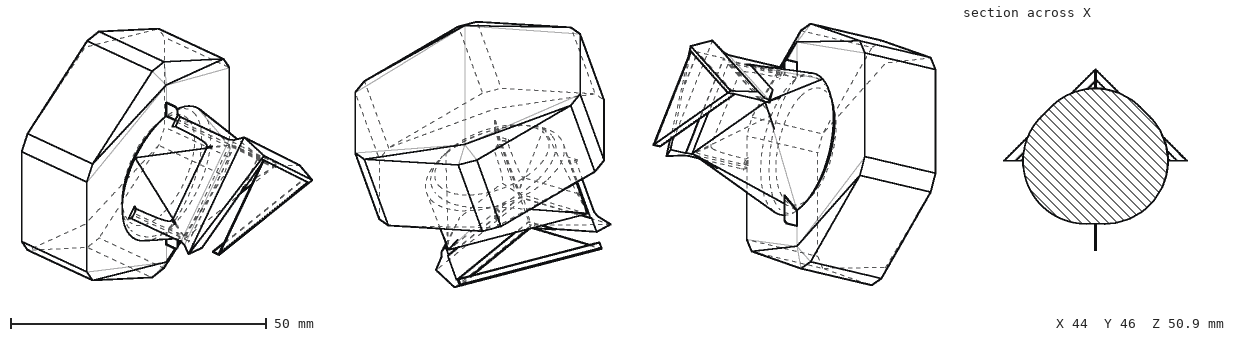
import cadquery as cq
import math


ACROSS_FLATS = 46.0
ACROSS_TRIMMED_CORNERS = 50.92
KNOB_LENGTH = 20.0
ROOF_HEIGHT = 2.0
RIDGE_HALF_LENGTH = 21.85

CORE_RADIUS = 14.2
CORE_SEAT_DEPTH = 2.0
CORE_SEAT_RADIUS = 11.7

WEB_HEIGHT = 35.0
WEB_LENGTH = 2.8
WEB_THICKNESS = 0.2
WEB_CHAMFER = 0.5

COLLAR_START = KNOB_LENGTH + WEB_LENGTH + 0.1
COLLAR_END = COLLAR_START + 0.5
COLLAR_RADIUS = 15.95
NECK_RADIUS = 15.6
NECK_END = 35.4
STEP_END = 36.6
STEP_RADIUS = 16.0
LIP_X = 39.1
LIP_RADIUS = 17.9
MOUTH_X = 44.0
BORE_RADIUS = 14.5
RECESS_RADIUS = 14.7
CUT_MARGIN = 5.0

CAP_LENGTH = 1.5
CAP_THICKNESS = 0.2


def closed_solid(faces):
    """Solid enclosed by faces that meet edge to edge."""
    return cq.Workplane(cq.Solid.makeSolid(cq.Shell.makeShell(faces)).fix())


def polygon_face(corners):
    """Flat face with the given corner points."""
    return cq.Face.makeFromWires(cq.Wire.makePolygon([cq.Vector(p) for p in corners], close=True))


def polyhedron(faces):
    """Solid bounded by flat faces, each given as a list of corner points."""
    return closed_solid([polygon_face(corners) for corners in faces])


def chevron(profile):
    """Sweep a closed (x, radius) profile over the upper half of a square set on its corner."""
    rings = [[(x, -r, 0), (x, 0, r), (x, r, 0)] for x, r in profile]
    faces = [[ring[0] for ring in rings], [ring[2] for ring in rings]]
    for ring, following in zip(rings, rings[1:] + rings[:1]):
        for side in range(2):
            faces.append([ring[side], ring[side + 1], following[side + 1], following[side]])
    return polyhedron(faces)


def plan_cutter(points):
    """Upright cutter with the given (x, y) outline, taller than the sleeve."""
    return cq.Workplane("XY").workplane(offset=-CUT_MARGIN).polyline(points).close().extrude(
        LIP_RADIUS + 2 * CUT_MARGIN
    )


def hexagon_outline():
    """Corners (y, z) of the trimmed hexagon, two at each trimmed corner."""
    flat = ACROSS_FLATS / 2
    trim = ACROSS_TRIMMED_CORNERS / 2
    corner_radius = flat / math.cos(math.pi / 6)
    half_trim_width = (corner_radius - trim) * math.tan(math.pi / 3)
    points = []
    for corner in range(6):
        angle = math.radians(90 + 60 * corner)
        for side in (-half_trim_width, half_trim_width):
            y = trim * math.cos(angle) - side * math.sin(angle)
            z = trim * math.sin(angle) + side * math.cos(angle)
            points.append((y, z))
    return points


def make_knob():
    outline = hexagon_outline()
    near_x = ROOF_HEIGHT
    far_x = KNOB_LENGTH - ROOF_HEIGHT
    faces = []
    edges = list(zip(outline, outline[1:] + outline[:1]))
    for a, b in edges:
        faces.append([(near_x, *a), (near_x, *b), (far_x, *b), (far_x, *a)])
    for base_x, ridge_x in ((near_x, 0), (far_x, KNOB_LENGTH)):
        ridge_top = (ridge_x, 0, RIDGE_HALF_LENGTH)
        ridge_bottom = (ridge_x, 0, -RIDGE_HALF_LENGTH)
        for a, b in edges:
            mid_z = (a[1] + b[1]) / 2
            corners = [(base_x, *a), (base_x, *b)]
            if math.isclose(mid_z, 0, abs_tol=1e-6):
                ends = [ridge_top, ridge_bottom]
                corners += ends if b[1] > a[1] else ends[::-1]
            else:
                corners.append(ridge_top if mid_z > 0 else ridge_bottom)
            faces.append(corners)
    return polyhedron(faces)


def make_core():
    def on_base(degrees):
        angle = math.radians(degrees)
        return cq.Vector(KNOB_LENGTH, CORE_RADIUS * math.cos(angle), CORE_RADIUS * math.sin(angle))

    left = cq.Vector(NECK_END, CORE_RADIUS, 0)
    top = cq.Vector(NECK_END, 0, CORE_RADIUS)
    right = cq.Vector(NECK_END, -CORE_RADIUS, 0)

    faces = [polygon_face([left, top, right])]
    arcs = []
    fans = ((-90, 45, left, top), (45, 135, top, right), (135, 270, right, left))
    for start, end, tip, next_tip in fans:
        arc = cq.Edge.makeThreePointArc(on_base(start), on_base((start + end) / 2), on_base(end))
        arcs.append(arc)
        faces.append(cq.occ_impl.shapes.loft(arc, cq.Vertex.makeVertex(*tip.toTuple())))
        faces.append(polygon_face([on_base(end), tip, next_tip]))
    faces.append(cq.Face.makeFromWires(cq.Wire.assembleEdges(arcs)))
    taper = closed_solid(faces)
    seat = (
        cq.Workplane("YZ", origin=(KNOB_LENGTH - CORE_SEAT_DEPTH, 0, 0))
        .circle(CORE_SEAT_RADIUS)
        .workplane(offset=CORE_SEAT_DEPTH)
        .circle(CORE_RADIUS)
        .loft()
    )
    return seat.union(taper)


def make_web():
    return (
        cq.Workplane("XY")
        .box(WEB_LENGTH, WEB_THICKNESS, WEB_HEIGHT)
        .edges(">X and |Y")
        .chamfer(WEB_CHAMFER)
        .translate((KNOB_LENGTH + WEB_LENGTH / 2, 0, 0))
    )


def make_sleeve():
    wall = chevron(
        [
            (COLLAR_START, COLLAR_RADIUS),
            (COLLAR_END, NECK_RADIUS),
            (NECK_END, NECK_RADIUS),
            (STEP_END, STEP_RADIUS),
            (LIP_X, LIP_RADIUS),
            (MOUTH_X, NECK_RADIUS),
            (MOUTH_X, BORE_RADIUS),
            (MOUTH_X - CAP_LENGTH, BORE_RADIUS),
            (MOUTH_X - CAP_LENGTH, RECESS_RADIUS),
            (STEP_END, RECESS_RADIUS),
            (STEP_END, BORE_RADIUS),
            (COLLAR_START, BORE_RADIUS),
        ]
    )
    neck_cut = plan_cutter(
        [
            (COLLAR_START - CUT_MARGIN, 0),
            (COLLAR_END, 0),
            (NECK_END, NECK_RADIUS),
            (NECK_END, NECK_RADIUS + CUT_MARGIN),
            (COLLAR_START - CUT_MARGIN, NECK_RADIUS + CUT_MARGIN),
        ]
    )
    mouth_cut = plan_cutter(
        [
            (MOUTH_X, 0),
            (LIP_X, -LIP_RADIUS),
            (MOUTH_X + CUT_MARGIN, -LIP_RADIUS),
            (MOUTH_X + CUT_MARGIN, 0),
        ]
    )
    return wall.cut(neck_cut).cut(mouth_cut)


def make_end_cap():
    plate = (
        cq.Workplane("YZ", origin=(MOUTH_X - CAP_THICKNESS, 0, 0))
        .polyline([(-BORE_RADIUS, 0), (0, BORE_RADIUS), (BORE_RADIUS, 0)])
        .close()
        .extrude(CAP_THICKNESS)
    )
    floor = (
        cq.Workplane("XY")
        .box(CAP_LENGTH, 2 * BORE_RADIUS, CAP_THICKNESS, centered=(False, True, False))
        .translate((MOUTH_X - CAP_LENGTH, 0, 0))
    )
    return plate.union(floor)


core = make_core()
knob = make_knob().cut(core)
web = make_web().cut(core)
sleeve = make_sleeve().cut(core)
end_cap = make_end_cap().cut(sleeve)

result = cq.Compound.makeCompound(
    [knob.val(), core.val(), *web.solids().vals(), *sleeve.solids().vals(), end_cap.val()]
)